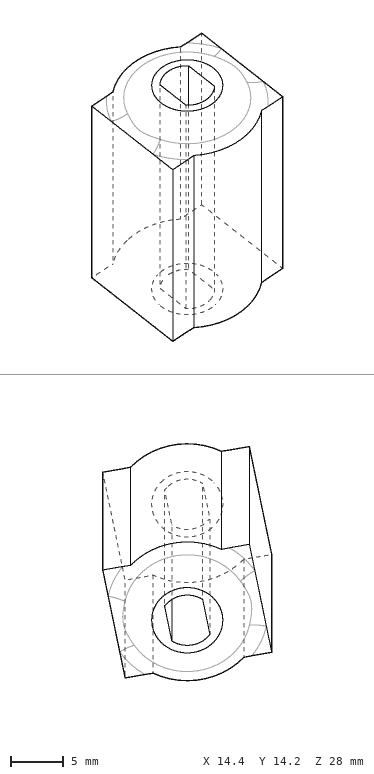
import cadquery as cq

total_height = 28.0
block_width = 11.4
block_depth = 14.22
cylinder_radius = 7.2

cone_height = 2.18
cone_base_radius = 6.8
cone_tip_radius = 3.4
blend_radius = 3.05

bore_diameter = 5.2
bore_flat_distance = 3.7

body_height = total_height - 2 * cone_height
blank_width = 2 * (cone_base_radius + blend_radius)


def make_outline():
    """Full-height prism whose section is a rectangle merged with a circle."""
    rectangle = cq.Workplane("XY").box(block_width, block_depth, total_height)
    circle = cq.Workplane("XY").cylinder(total_height, cylinder_radius)
    return rectangle.union(circle)


def make_blank():
    """Block as deep as the body, wide enough for the whole blend to land on it."""
    return cq.Workplane("XY").box(blank_width, block_depth, body_height)


def make_cone(direction):
    """Truncated cone on the top (+1) or bottom (-1) face of the blank."""
    cone = cq.Solid.makeCone(
        cone_base_radius,
        cone_tip_radius,
        cone_height,
        pnt=cq.Vector(0, 0, direction * body_height / 2),
        dir=cq.Vector(0, 0, direction),
    )
    return cq.Workplane(cone)


def make_bore():
    """Round bore narrowed by flats facing +Y and -Y."""
    round_bore = cq.Workplane("XY").cylinder(total_height, bore_diameter / 2)
    flats = cq.Workplane("XY").box(bore_diameter, bore_flat_distance, total_height)
    return round_bore.intersect(flats)


def is_cone_base(edge):
    """True for the full circles where the cones meet the blank."""
    return edge.IsClosed() and abs(edge.radius() - cone_base_radius) < 0.003


part = make_blank().union(make_cone(1)).union(make_cone(-1))
cone_base_edges = [edge for edge in part.edges("%CIRCLE").vals() if is_cone_base(edge)]
part = part.newObject(cone_base_edges).fillet(blend_radius)
result = part.intersect(make_outline()).cut(make_bore())